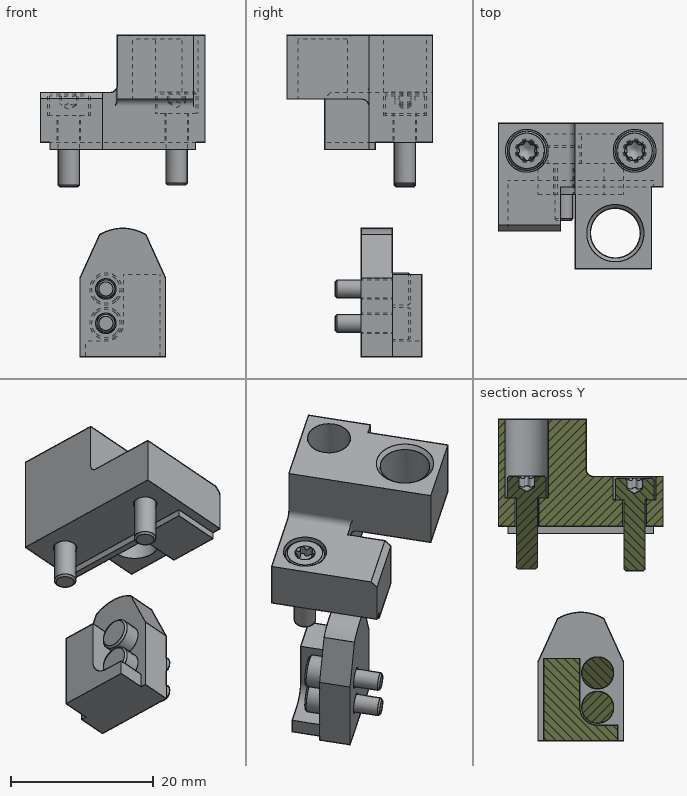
import cadquery as cq
import math


housing_width = 23.1
housing_top = 45.0
housing_bottom = 30.0
low_block_top = 37.0
low_block_front = -15.1
low_block_right = 8.75
low_block_chamfer = 0.85
wall_front = -8.9
overhang_left = 10.75
overhang_right = 21.45
overhang_front = -20.4
overhang_bottom = 36.05
inner_fillet = 1.0
corner_fillet = 0.3

foot_height = 1.05
foot_inset = 1.35
foot_back = -8.0

bore_diameter = 6.95
bore_mouth_diameter = 8.0
bore_x = 16.4
bore_y = -15.4

main_screw_y = -3.85
main_screw_seats = [(4.0, 33.75), (19.1, 34.0)]
main_shank_diameter = 3.0
main_head_diameter = 5.5
main_head_height = 3.0
main_shank_length = 10.0
main_hole_diameter = 3.3
main_counterbore_diameter = 6.0

plate_left = 5.55
plate_right = 17.55
plate_front = -10.0
plate_back = -5.62
plate_top = 18.0
shoulder_height = 11.02
crown_height = 17.1
crown_half_width = 3.25
rib_inset = 0.8
rib_back = -1.5
rib_top = 11.5

small_screw_x = 9.2
small_screw_heights = [4.7, 9.5]
small_shank_diameter = 2.5
small_head_diameter = 4.5
small_head_height = 2.5
small_shank_length = 8.0
small_hole_diameter = 2.9
small_head_pocket_radius = 2.48

head_chamfer = 0.25
tip_chamfer = 0.25

socket_lobes = 6
socket_tip_radius = 1.4
socket_ridge_radius = 1.05
socket_depth = 1.35
socket_point_depth = 0.8


def block(x_range, y_range, z_range):
    """Box between two limits along each axis."""
    sizes = [high - low for low, high in (x_range, y_range, z_range)]
    corner = (x_range[0], y_range[0], z_range[0])
    return cq.Workplane("XY").box(*sizes, centered=False).translate(corner)


def concave_corner(plane, length, radius):
    """Filler for an inside corner at the origin, in the first quadrant of the plane."""
    middle = radius * (1 - math.sqrt(0.5))
    return (
        cq.Workplane(plane)
        .lineTo(radius, 0)
        .threePointArc((middle, middle), (0, radius))
        .close()
        .extrude(length)
    )


def cone(bottom_radius, top_radius, height):
    """Upright cone standing on the origin."""
    return cq.Workplane(cq.Solid.makeCone(bottom_radius, top_radius, height))


def inner_corner_fillers():
    """Fillets along the step, under the overhang, and in the upright corner between them."""
    step = concave_corner("XZ", -wall_front, inner_fillet).mirror("YZ")
    step = step.translate((overhang_left, 0, low_block_top))

    under = concave_corner("YZ", overhang_right - overhang_left, inner_fillet).rotate(
        (0, 0, 0), (1, 0, 0), 180
    )
    under = under.translate((overhang_left, wall_front, overhang_bottom))

    upright_bottom = overhang_bottom - inner_fillet
    upright_top = low_block_top + inner_fillet
    upright = concave_corner("XY", upright_top - upright_bottom, corner_fillet).rotate(
        (0, 0, 0), (0, 0, 1), 180
    )
    upright = upright.translate((overhang_left, wall_front, upright_bottom))
    step_round = (
        cq.Workplane("XZ")
        .center(overhang_left - inner_fillet, upright_top)
        .circle(inner_fillet)
        .extrude(-overhang_front)
    )
    under_round = (
        cq.Workplane("YZ")
        .center(wall_front - inner_fillet, upright_bottom)
        .circle(inner_fillet)
        .extrude(housing_width)
    )
    upright = upright.cut(step_round).cut(under_round)
    return step.union(under).union(upright)


def housing_blocks():
    low = block((0, low_block_right), (low_block_front, 0), (housing_bottom, low_block_top))
    low = low.faces("<Y").edges(">Z").chamfer(low_block_chamfer)
    base = block((0, housing_width), (wall_front, 0), (housing_bottom, low_block_top))
    tall = block((overhang_left, housing_width), (wall_front, 0), (housing_bottom, housing_top))
    overhang = block(
        (overhang_left, overhang_right), (overhang_front, 0), (overhang_bottom, housing_top)
    )
    foot_z = (housing_bottom - foot_height, housing_bottom)
    foot_right = housing_width - foot_inset
    back_foot = block((foot_inset, foot_right), (wall_front, foot_back), foot_z)
    front_foot = block((foot_inset, low_block_right), (low_block_front, foot_back), foot_z)
    body = low
    for piece in (base, tall, overhang, back_foot, front_foot):
        body = body.union(piece)
    return body


def make_housing():
    body = housing_blocks().union(inner_corner_fillers())

    bore = (
        cq.Workplane("XY", origin=(bore_x, bore_y, overhang_bottom))
        .circle(bore_diameter / 2)
        .extrude(housing_top - overhang_bottom)
    )
    mouth_depth = (bore_mouth_diameter - bore_diameter) / 2
    mouth = cone(bore_diameter / 2, bore_mouth_diameter / 2, mouth_depth)
    body = body.cut(bore).cut(mouth.translate((bore_x, bore_y, housing_top - mouth_depth)))

    for screw_x, seat_z in main_screw_seats:
        axis = cq.Workplane("XY", origin=(screw_x, main_screw_y, seat_z))
        body = body.cut(axis.circle(main_hole_diameter / 2).extrude(housing_bottom - seat_z))
        body = body.cut(axis.circle(main_counterbore_diameter / 2).extrude(housing_top - seat_z))
    return body


def make_cap_screw(shank_diameter, shank_length, head_diameter, head_height):
    """Upright cap screw with the underside of its head at the origin."""
    head = cq.Workplane("XY").circle(head_diameter / 2).extrude(head_height)
    head = head.faces(">Z").chamfer(head_chamfer)
    shank = cq.Workplane("XY").circle(shank_diameter / 2).extrude(-shank_length)
    shank = shank.faces("<Z").chamfer(tip_chamfer)
    return head.union(shank)


def lobed_socket():
    """Six-lobed socket that opens upward at the origin and ends in a shallow cone."""
    middle_radius = (socket_tip_radius + socket_ridge_radius) / 2
    quarter_pitch = math.pi / (2 * socket_lobes)

    def at(radius, quarter):
        angle = math.pi / 2 + quarter * quarter_pitch
        return radius * math.cos(angle), radius * math.sin(angle)

    outline = cq.Workplane("XY").moveTo(*at(middle_radius, -1))
    for lobe in range(socket_lobes):
        quarter = 4 * lobe
        outline = outline.threePointArc(at(socket_tip_radius, quarter), at(middle_radius, quarter + 1))
        outline = outline.threePointArc(
            at(socket_ridge_radius, quarter + 2), at(middle_radius, quarter + 3)
        )
    full_depth = socket_depth + socket_point_depth
    lobes = outline.close().extrude(-full_depth)
    floor = cone(0, socket_tip_radius, socket_point_depth).translate((0, 0, -full_depth))
    envelope = cq.Workplane("XY").circle(socket_tip_radius).extrude(-socket_depth).union(floor)
    mouth_depth = socket_tip_radius - socket_ridge_radius
    mouth = cone(socket_ridge_radius, socket_tip_radius, mouth_depth)
    return lobes.intersect(envelope).union(mouth.translate((0, 0, -mouth_depth)))


def make_main_screw(screw_x, seat_z):
    screw = make_cap_screw(
        main_shank_diameter, main_shank_length, main_head_diameter, main_head_height
    )
    screw = screw.cut(lobed_socket().translate((0, 0, main_head_height)))
    return screw.translate((screw_x, main_screw_y, seat_z))


def make_plate():
    centre_x = (plate_left + plate_right) / 2
    body = (
        cq.Workplane("XZ", origin=(0, plate_back, 0))
        .moveTo(plate_left, 0)
        .lineTo(plate_right, 0)
        .lineTo(plate_right, shoulder_height)
        .lineTo(centre_x + crown_half_width, crown_height)
        .threePointArc((centre_x, plate_top), (centre_x - crown_half_width, crown_height))
        .lineTo(plate_left, shoulder_height)
        .close()
        .extrude(plate_back - plate_front)
    )

    rib_left = plate_left + rib_inset
    rib_right = plate_right - rib_inset
    corner_z = small_screw_heights[0]
    wall_x = small_screw_x + small_head_pocket_radius
    ledge_z = corner_z - small_head_pocket_radius
    diagonal = small_head_pocket_radius * math.sqrt(0.5)
    rib = (
        cq.Workplane("XZ", origin=(0, rib_back, 0))
        .moveTo(rib_left, 0)
        .lineTo(rib_right, 0)
        .lineTo(rib_right, rib_top)
        .lineTo(wall_x, rib_top)
        .lineTo(wall_x, corner_z)
        .threePointArc((small_screw_x + diagonal, corner_z - diagonal), (small_screw_x, ledge_z))
        .lineTo(rib_left, ledge_z)
        .close()
        .extrude(rib_back - plate_back)
    )
    body = body.union(rib)

    holes = (
        cq.Workplane("XZ", origin=(0, plate_back, 0))
        .pushPoints([(small_screw_x, height) for height in small_screw_heights])
        .circle(small_hole_diameter / 2)
        .extrude(plate_back - plate_front)
    )
    return body.cut(holes)


def make_small_screw(height):
    screw = make_cap_screw(
        small_shank_diameter, small_shank_length, small_head_diameter, small_head_height
    )
    return screw.rotate((0, 0, 0), (1, 0, 0), -90).translate((small_screw_x, plate_back, height))


housing = make_housing()
main_screws = [make_main_screw(screw_x, seat_z) for screw_x, seat_z in main_screw_seats]
plate = make_plate()
small_screws = [make_small_screw(height) for height in small_screw_heights]

result = cq.Compound.makeCompound(
    [
        housing.val(),
        *[screw.val() for screw in main_screws],
        plate.val(),
        *[screw.val() for screw in small_screws],
    ]
)